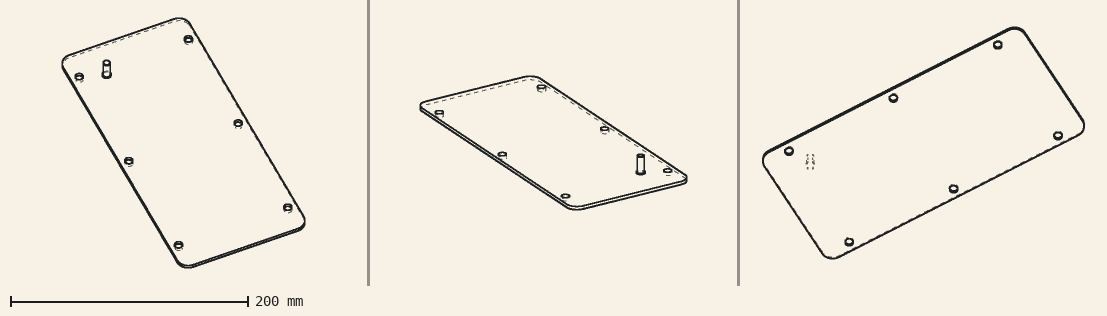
import cadquery as cq

length = 254
width = 117.0
thickness = 3.0
corner_radius = 10.2

hole_diameter = 6.9
hole_column_pitch = 101.9
hole_row_pitch = 101.0

total_height = 19.0
stud_x = -94.0
stud_y = -28.7
stud_diameter = 6.0
stud_chamfer = 0.5
collar_diameter = 7.5
collar_height = 0.8


def make_plate():
    """Rounded plate resting on Z = 0, with its mounting holes."""
    plate = (
        cq.Workplane("XY")
        .box(length, width, thickness, centered=(True, True, False))
        .edges("|Z")
        .fillet(corner_radius)
    )
    return (
        plate.faces(">Z")
        .workplane()
        .rarray(hole_column_pitch, hole_row_pitch, 3, 2)
        .hole(hole_diameter)
    )


def make_stud():
    """Round stud with a chamfered tip and a collar at its foot."""
    base = cq.Workplane("XY", origin=(stud_x, stud_y, thickness))
    shank = (
        base.circle(stud_diameter / 2)
        .extrude(total_height - thickness)
        .faces(">Z")
        .chamfer(stud_chamfer)
    )
    collar = base.circle(collar_diameter / 2).extrude(collar_height)
    return shank.union(collar)


result = make_plate().union(make_stud())